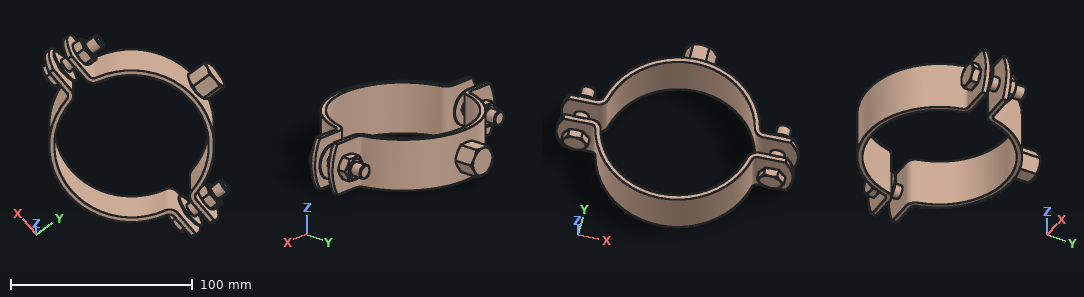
import cadquery as cq
import math


strip_width = 30.0
strip_thickness = 3.0
ring_radius = 45.4
ear_gap = 10.0
ear_bend_radius = 3.0
overall_length = 133.6
ear_end_radius = 30.0

bolt_spacing = 110.6
bolt_diameter = 8.0
bolt_neck_diameter = 7.3
bolt_end_y = 21.8
bolt_chamfer = 0.5
hex_flats = 13.1
hex_chamfer_angle = 30.0
head_thickness = 4.8
head_chamfer_diameter = 13.0
washer_face_diameter = 11.4
washer_face_thickness = 0.7
nut_height = 6.5
nut_seat_diameter = 13.0
nut_top_diameter = 11.4
washer_diameter = 20.0
washer_thickness = 0.7
washer_y = -2.7

boss_flats = 15.9
boss_end_y = 59.0
boss_end_diameter = 15.9
boss_seat_diameter = 10.0
boss_seat_angle = 23.0

ear_inner_y = ear_gap / 2
ear_outer_y = ear_inner_y + strip_thickness
bolt_x = bolt_spacing / 2
half_length = overall_length / 2


def point_at(center, radius, degrees):
    """Point on a circle in the XY plane."""
    angle = math.radians(degrees)
    return (center[0] + radius * math.cos(angle), center[1] + radius * math.sin(angle))


def half_clamp():
    """The +Y half: an arc that bends outward into a flat ear at each end."""
    inner_radius = ring_radius - strip_thickness
    outer_bend_radius = ear_bend_radius + strip_thickness

    bend_y = ear_outer_y + ear_bend_radius
    bend_x = math.sqrt((ring_radius + ear_bend_radius) ** 2 - bend_y**2)
    left_bend = (-bend_x, bend_y)
    right_bend = (bend_x, bend_y)
    joint = math.degrees(math.atan2(bend_y, bend_x))
    right_middle = (180 + joint + 270) / 2
    left_middle = 180 - right_middle
    origin = (0, 0)

    strip = (
        cq.Workplane("XY")
        .moveTo(half_length, ear_outer_y)
        .lineTo(bend_x, ear_outer_y)
        .threePointArc(
            point_at(right_bend, ear_bend_radius, right_middle),
            point_at(origin, ring_radius, joint),
        )
        .threePointArc((0, ring_radius), point_at(origin, ring_radius, 180 - joint))
        .threePointArc(
            point_at(left_bend, ear_bend_radius, left_middle),
            (-bend_x, ear_outer_y),
        )
        .lineTo(-half_length, ear_outer_y)
        .lineTo(-half_length, ear_inner_y)
        .lineTo(-bend_x, ear_inner_y)
        .threePointArc(
            point_at(left_bend, outer_bend_radius, left_middle),
            point_at(origin, inner_radius, 180 - joint),
        )
        .threePointArc((0, inner_radius), point_at(origin, inner_radius, joint))
        .threePointArc(
            point_at(right_bend, outer_bend_radius, right_middle),
            (bend_x, ear_inner_y),
        )
        .lineTo(half_length, ear_inner_y)
        .close()
        .extrude(strip_width / 2, both=True)
    )
    return strip.intersect(rounded_ear_outline())


def rounded_ear_outline():
    """Block seen along Y as a strip with bulging ends, used to round the ear tips."""
    top = strip_width / 2
    bulge = ear_end_radius - math.sqrt(ear_end_radius**2 - top**2)
    corner_x = half_length - bulge
    return (
        cq.Workplane("XZ")
        .moveTo(-corner_x, -top)
        .lineTo(corner_x, -top)
        .threePointArc((half_length, 0), (corner_x, top))
        .lineTo(-corner_x, top)
        .threePointArc((-half_length, 0), (-corner_x, -top))
        .close()
        .extrude(2 * ring_radius, both=True)
    )


def cylinder_y(diameter, y_start, y_end):
    """Round bar along Y."""
    return cq.Workplane("XZ", origin=(0, y_start, 0)).circle(diameter / 2).extrude(y_start - y_end)


def hexagon_y(flats, y_start, y_end):
    """Hex prism along Y with two corners on the X axis."""
    across_corners = 2 * flats / math.sqrt(3)
    prism = cq.Workplane("XZ", origin=(0, y_start, 0)).polygon(6, across_corners)
    return prism.extrude(y_start - y_end)


def turn_corners(prism, face_y, inward, face_diameter, angle):
    """Turn the corners of a hex prism to a cone that meets one end face in a circle.

    inward is the sign of the Y direction that leads from the face into the prism.
    """
    face_radius = face_diameter / 2
    cone_depth = overall_length
    wide_radius = face_radius + cone_depth / math.tan(math.radians(angle))
    wide_y = face_y + inward * cone_depth
    cone = (
        cq.Workplane("XY")
        .moveTo(0, face_y)
        .lineTo(face_radius, face_y)
        .lineTo(wide_radius, wide_y)
        .lineTo(0, wide_y)
        .close()
        .revolve(360, (0, 0, 0), (0, 1, 0))
    )
    return prism.intersect(cone)


def bolt():
    """Bolt on the Y axis: hex head, washer face, thin neck in the ear, chamfered shank."""
    head_seat_y = -ear_outer_y - washer_face_thickness
    head_end_y = head_seat_y - head_thickness
    head = hexagon_y(hex_flats, head_end_y, head_seat_y)
    head = turn_corners(head, head_end_y, 1, head_chamfer_diameter, hex_chamfer_angle)
    washer_face = cylinder_y(washer_face_diameter, head_seat_y, -ear_outer_y)
    neck = cylinder_y(bolt_neck_diameter, -ear_outer_y, -ear_inner_y)
    shank = cylinder_y(bolt_diameter, -ear_inner_y, bolt_end_y)
    chamfer_depth = (bolt_diameter - bolt_neck_diameter) / 2
    shank = shank.faces("<Y or >Y").edges().chamfer(bolt_chamfer, chamfer_depth)
    return shank.union(neck).union(washer_face).union(head)


def nut():
    """Nut on the Y axis, seated on the +Y ear."""
    end_y = ear_outer_y + nut_height
    blank = hexagon_y(hex_flats, ear_outer_y, end_y)
    blank = turn_corners(blank, ear_outer_y, 1, nut_seat_diameter, hex_chamfer_angle)
    return turn_corners(blank, end_y, -1, nut_top_diameter, hex_chamfer_angle)


def retaining_washer():
    """Thin washer tight on the shank, between the ears."""
    half_thickness = washer_thickness / 2
    return cylinder_y(washer_diameter, washer_y - half_thickness, washer_y + half_thickness)


def boss():
    """Hex boss whose conical foot sinks slightly into the ring."""
    seat_y = math.sqrt(ring_radius**2 - (boss_seat_diameter / 2) ** 2)
    blank = hexagon_y(boss_flats, seat_y, boss_end_y)
    blank = turn_corners(blank, seat_y, 1, boss_seat_diameter, boss_seat_angle)
    return turn_corners(blank, boss_end_y, -1, boss_end_diameter, hex_chamfer_angle)


upper_half = half_clamp()
lower_half = upper_half.mirror("XZ")
fastener = bolt().union(nut()).union(retaining_washer())

result = upper_half.union(lower_half).union(boss())
for side in (-1, 1):
    result = result.union(fastener.translate((side * bolt_x, 0, 0)))